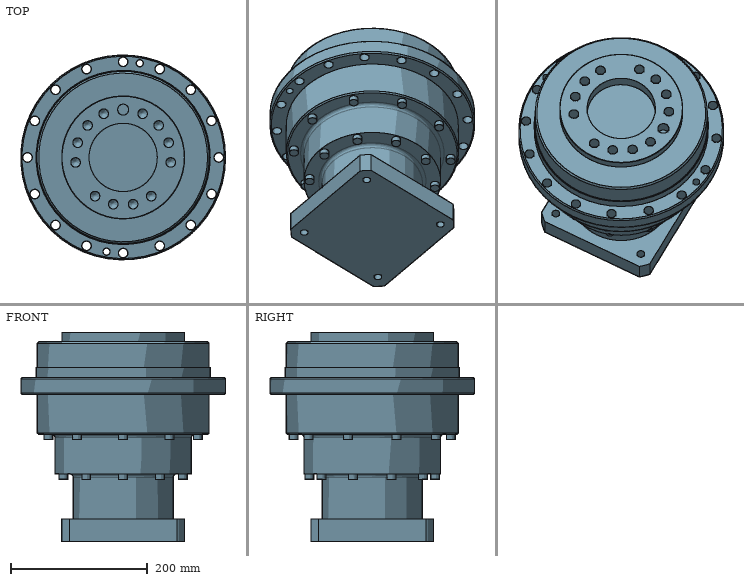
import cadquery as cq
import math

total_height = 306.2
plate_top = 33.0
neck_top = 99.0
stage_top = 157.0
flange_thickness = 25.0
flange_top = 240.2
flange_bottom = flange_top - flange_thickness
collar_top = 255.0
body_top = 292.5

neck_diameter = 147.0
stage_diameter = 200.0
body_diameter = 252.0
collar_diameter = 255.0
flange_diameter = 300.0
output_diameter = 180.0

body_top_chamfer = 2.5
body_bottom_chamfer = 2.0
flange_chamfer = 2.0
output_chamfer = 0.5
neck_fillet = 5.0
stage_fillet = 5.0

plate_side = 180.0
plate_corner_diameter = 239.0
plate_hole_circle = 200.0
plate_hole_diameter = 11.0
plate_hole_count = 4
plate_hole_angle = 45.0

recess_diameter = 100.0
recess_depth = 20.0
output_hole_circle = 140.0
output_hole_diameter = 14.0
output_hole_depth = 25.0
drill_point_angle = 118.0
output_position_count = 15
dowel_position = 0
plain_positions = (5, 10)
dowel_diameter = 16.0
dowel_depth = 20.0

flange_hole_circle = 280.0
flange_hole_diameter = 13.5
flange_hole_count = 16
flange_pin_diameter = 10.0
flange_pin_angles = (80.0, 260.0)

screw_count = 10
screw_head_diameter = 13.0
screw_head_height = 8.0
screw_embed = 1.0
body_screw_circle = 230.0
stage_screw_circle = 184.0

first_angle = 90.0


def polar(circle_diameter, angle):
    """Point on a circle about the main axis, angle in degrees from +X."""
    radius = circle_diameter / 2
    return (radius * math.cos(math.radians(angle)), radius * math.sin(math.radians(angle)))


def ring(circle_diameter, count, start=first_angle):
    """Evenly spaced points on a circle about the main axis."""
    return [polar(circle_diameter, start + i * 360.0 / count) for i in range(count)]


def cylinder(diameter, bottom, top):
    return cq.Workplane("XY").workplane(offset=bottom).circle(diameter / 2).extrude(top - bottom)


def cylinders(points, diameter, bottom, top):
    plane = cq.Workplane("XY").workplane(offset=bottom)
    return plane.pushPoints(points).circle(diameter / 2).extrude(top - bottom)


def root_flare(diameter, fillet, shoulder):
    """Turned section under a shoulder whose upper end sweeps out in a concave fillet."""
    radius = diameter / 2
    start = shoulder - fillet
    bend = fillet * math.sqrt(0.5)
    return (
        cq.Workplane("XZ")
        .moveTo(0, start)
        .lineTo(radius, start)
        .threePointArc((radius + fillet - bend, start + bend), (radius + fillet, shoulder))
        .lineTo(0, shoulder)
        .close()
        .revolve(360, (0, 0, 0), (0, 1, 0))
    )


def make_plate():
    """Square plate with its corners turned to a common circle, and a through hole in each."""
    square = cq.Workplane("XY").rect(plate_side, plate_side).extrude(plate_top)
    plate = square.intersect(cylinder(plate_corner_diameter, 0, plate_top))
    hole_points = ring(plate_hole_circle, plate_hole_count, start=plate_hole_angle)
    return plate.cut(cylinders(hole_points, plate_hole_diameter, 0, plate_top))


def make_housing():
    """Neck, intermediate stage, main body, collar and output disc on one axis."""
    neck = cylinder(neck_diameter, plate_top, neck_top)
    neck = neck.union(root_flare(neck_diameter, neck_fillet, neck_top))
    stage = cylinder(stage_diameter, neck_top, stage_top)
    stage = stage.union(root_flare(stage_diameter, stage_fillet, stage_top))
    body = cylinder(body_diameter, stage_top, body_top)
    body = body.faces(">Z").edges().chamfer(body_top_chamfer)
    body = body.faces("<Z").edges().chamfer(body_bottom_chamfer)
    collar = cylinder(collar_diameter, flange_top, collar_top)
    output = cylinder(output_diameter, body_top, total_height)
    output = output.faces(">Z").edges().chamfer(output_chamfer)
    return neck.union(stage).union(body).union(collar).union(output)


def make_flange():
    """Mounting flange disc, chamfered on both rims."""
    disc = cylinder(flange_diameter, flange_bottom, flange_top)
    return disc.edges().chamfer(flange_chamfer)


def flange_holes():
    bolt_points = ring(flange_hole_circle, flange_hole_count)
    pin_points = [polar(flange_hole_circle, angle) for angle in flange_pin_angles]
    bolts = cylinders(bolt_points, flange_hole_diameter, flange_bottom, flange_top)
    return bolts.union(cylinders(pin_points, flange_pin_diameter, flange_bottom, flange_top))


def drilled_hole(point):
    """Blind hole with a conical bottom, entering from the output face."""
    radius = output_hole_diameter / 2
    floor = total_height - output_hole_depth
    tip = floor - radius / math.tan(math.radians(drill_point_angle / 2))
    profile = [(0, tip), (radius, floor), (radius, total_height), (0, total_height)]
    hole = cq.Workplane("XZ").polyline(profile).close().revolve(360, (0, 0, 0), (0, 1, 0))
    return hole.translate((point[0], point[1], 0))


def output_cuts():
    """Central recess, flat-bottomed dowel hole and the interrupted ring of drilled holes."""
    cuts = cylinder(recess_diameter, total_height - recess_depth, total_height)
    for position, point in enumerate(ring(output_hole_circle, output_position_count)):
        if position == dowel_position:
            cuts = cuts.union(cylinders([point], dowel_diameter, total_height - dowel_depth, total_height))
        elif position not in plain_positions:
            cuts = cuts.union(drilled_hole(point))
    return cuts


def screw_heads(circle_diameter, shoulder):
    """Ring of round screw heads hanging below a shoulder, rooted slightly into it."""
    points = ring(circle_diameter, screw_count)
    return cylinders(points, screw_head_diameter, shoulder - screw_head_height, shoulder + screw_embed)


result = make_plate().union(make_housing()).union(make_flange())
result = result.union(screw_heads(body_screw_circle, stage_top))
result = result.union(screw_heads(stage_screw_circle, neck_top))
result = result.cut(flange_holes()).cut(output_cuts())